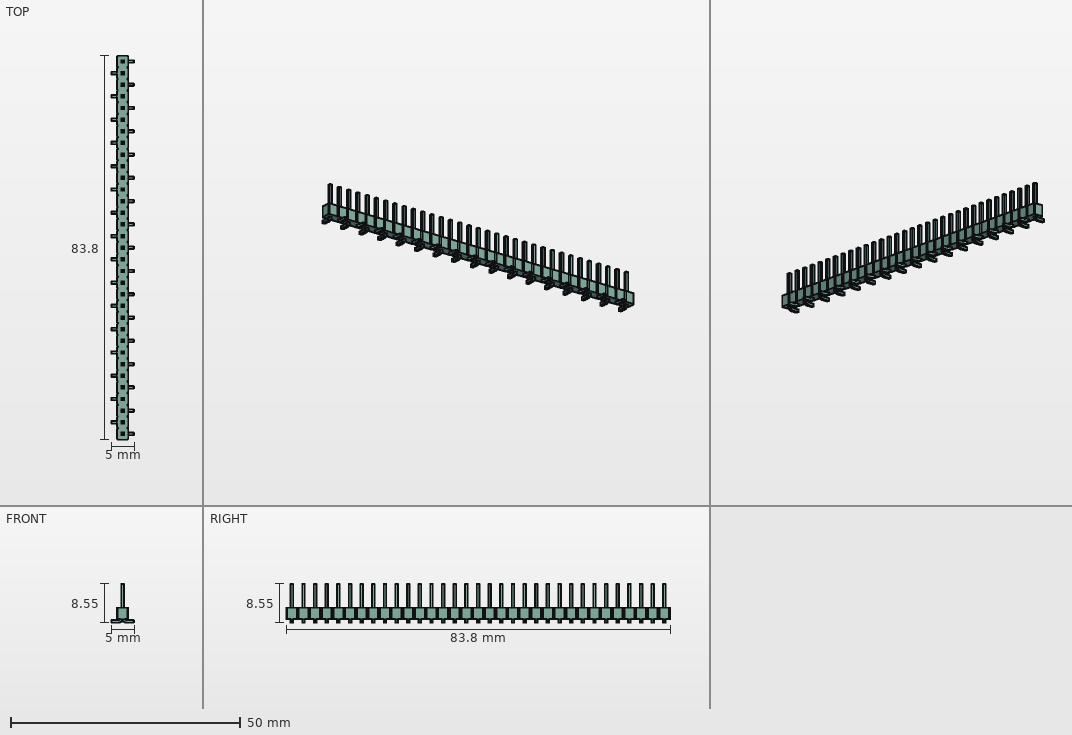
import cadquery as cq
import math

CELL_COUNT = 33
STRIP_LENGTH = 83.8
PITCH = STRIP_LENGTH / CELL_COUNT
HOUSING_WIDTH = PITCH
HOUSING_HEIGHT = PITCH
HOUSING_BOTTOM = 0.8
CELL_CHAMFER = 0.25

TOTAL_HEIGHT = 8.55
FOOT_SPAN = 5.0
WIRE = 0.64
INNER_BEND = 0.63
OUTER_BEND = INNER_BEND + WIRE
TIP_CHAMFER = 0.16


def cell_center(index):
    """Y position of a cell, counted from the -Y end of the strip."""
    return -STRIP_LENGTH / 2 + (index + 0.5) * PITCH


def make_housing():
    """Row of cells with chamfered upright corners, which leave V grooves between them."""
    cell = (
        cq.Workplane("XY")
        .box(HOUSING_WIDTH, PITCH, HOUSING_HEIGHT, centered=(True, True, False))
        .edges("|Z")
        .chamfer(CELL_CHAMFER)
        .translate((0, 0, HOUSING_BOTTOM))
    )
    housing = cell.translate((0, cell_center(0), 0))
    for index in range(1, CELL_COUNT):
        housing = housing.union(cell.translate((0, cell_center(index), 0)))
    return housing


def make_contact():
    """L-shaped contact centered on Y = 0, its foot pointing to +X and both tips chamfered."""
    half_wire = WIRE / 2
    foot_tip = FOOT_SPAN / 2
    bend_x = half_wire + INNER_BEND
    bend_z = OUTER_BEND
    diagonal = math.sqrt(0.5)
    outer_middle = (bend_x - OUTER_BEND * diagonal, bend_z - OUTER_BEND * diagonal)
    inner_middle = (bend_x - INNER_BEND * diagonal, bend_z - INNER_BEND * diagonal)
    return (
        cq.Workplane("XZ")
        .moveTo(-half_wire, TOTAL_HEIGHT)
        .lineTo(-half_wire, bend_z)
        .threePointArc(outer_middle, (bend_x, 0))
        .lineTo(foot_tip, 0)
        .lineTo(foot_tip, WIRE)
        .lineTo(bend_x, WIRE)
        .threePointArc(inner_middle, (half_wire, bend_z))
        .lineTo(half_wire, TOTAL_HEIGHT)
        .close()
        .extrude(half_wire, both=True)
        .faces(">Z or >X")
        .chamfer(TIP_CHAMFER)
    )


contact_right = make_contact()
contact_left = contact_right.mirror("YZ")
result = make_housing()
for index in range(CELL_COUNT):
    contact = contact_right if index % 2 == 0 else contact_left
    result = result.union(contact.translate((0, cell_center(index), 0)))